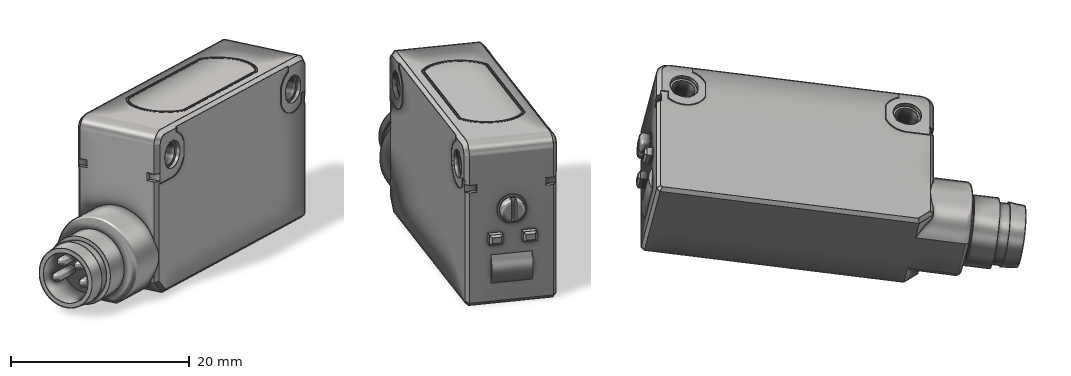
import cadquery as cq
import math


pad_width = 10.8
pad_height = 0.1
overall_length = 43.45
body_length = 31.5
body_height = 19.5
top_radius = 1.5
side_chamfer = 0.5
front_bottom_chamfer = 1.6
rear_bottom_chamfer = 0.4
half_width = pad_width / 2

hole_spacing = 25.4
front_hole_y = (body_length - hole_spacing) / 2
rear_hole_y = front_hole_y + hole_spacing
hole_z = 16.1
hole_diameter = 2.6
counterbore_diameter = 3.2
counterbore_depth = 0.5
pad_center_z = hole_z - 0.1
pad_radius = 2.65
pad_reach = 2.45
pad_neck = 0.95
rear_pad_step_y = rear_hole_y + 1.8
rear_pad_step_z = 15.05

notch_width = 1.4
notch_height = 0.9
notch_depth = 0.5
notch_z = 14.1

window_width = 7.7
window_length = 19.8
window_straight = 15.4
groove_width = 0.25
groove_depth = 0.1

connector_z = 4.55
collar_z = 4.65
collar_radius = 5.28
collar_end = 4.5
collar_fillet = 0.5
barrel_radius = 3.5
ring_radius = 4.0
ring_start = 4.85
ring_end = 7.75
lip_radius = 3.68
lip_start = 9.0
connector_length = 10.8
bore_radius = 2.95
bore_depth = 4.0
pin_radius = 0.55
pin_recess = 0.5
upper_pin_x = 1.13
upper_pin_rise = 1.45
lower_pin_x = 1.77
lower_pin_drop = 0.5

knob_z = 11.33
knob_radius = 1.43
knob_height = overall_length - body_length - connector_length
knob_fillet = 0.4
knob_slot_width = 0.6
knob_slot_depth = 0.7
knob_base_radius = 1.7
knob_base_height = 0.13
peg_z = 8.0
peg_inner_x = 1.2
peg_outer_x = 2.75
peg_thickness = 1.2
peg_height = 0.95
peg_chamfer = 0.25
lens_z = 4.26
lens_length = 4.8
lens_width = 3.4
lens_height = 0.45


def box(x_range, y_range, z_range):
    """Box between the given limits on each axis."""
    size = [high - low for low, high in (x_range, y_range, z_range)]
    low_corner = (x_range[0], y_range[0], z_range[0])
    return cq.Workplane("XY").box(*size, centered=False).translate(low_corner)


def disc(radius, x, z, y_start, y_end):
    """Cylinder along Y between two Y positions."""
    axis = cq.Vector(0, 1, 0)
    solid = cq.Solid.makeCylinder(radius, y_end - y_start, cq.Vector(x, y_start, z), axis)
    return cq.Workplane(obj=solid)


def cross_disc(diameter, y, z, x_start, x_end):
    """Cylinder along X between two X positions."""
    start = cq.Vector(x_start, y, z)
    solid = cq.Solid.makeCylinder(diameter / 2, x_end - x_start, start, cq.Vector(1, 0, 0))
    return cq.Workplane(obj=solid)


def make_block():
    """Housing at full pad width, with every side edge chamfered."""
    arc_inset = top_radius * (1 - math.sqrt(0.5))
    profile = (
        cq.Workplane("YZ", origin=(-half_width, 0, 0))
        .moveTo(front_bottom_chamfer, 0)
        .lineTo(body_length - rear_bottom_chamfer, 0)
        .lineTo(body_length, rear_bottom_chamfer)
        .lineTo(body_length, body_height - top_radius)
        .threePointArc(
            (body_length - arc_inset, body_height - arc_inset),
            (body_length - top_radius, body_height),
        )
        .lineTo(top_radius, body_height)
        .threePointArc((arc_inset, body_height - arc_inset), (0, body_height - top_radius))
        .lineTo(0, front_bottom_chamfer)
        .close()
    )
    return profile.extrude(pad_width).faces("<X or >X").chamfer(side_chamfer)


def make_pads():
    """Pad outlines carried through the full width of the housing."""
    x_range = (-half_width, half_width)
    top_range = (hole_z, body_height)
    round_range = (pad_center_z - pad_radius, pad_center_z + pad_radius)

    front_limit = front_hole_y + pad_reach
    front_pad = cross_disc(2 * pad_radius, front_hole_y, pad_center_z, *x_range)
    front_pad = front_pad.intersect(box(x_range, (0, front_limit), round_range))
    front_pad = front_pad.union(box(x_range, (0, front_hole_y + pad_neck), top_range))
    front_pad = front_pad.union(box(x_range, (0, front_hole_y), (round_range[0], body_height)))

    rear_limit = rear_hole_y - pad_reach
    rear_pad = cross_disc(2 * pad_radius, rear_hole_y, pad_center_z, *x_range)
    rear_pad = rear_pad.intersect(box(x_range, (rear_limit, rear_pad_step_y), round_range))
    rear_pad = rear_pad.union(box(x_range, (rear_hole_y - pad_neck, body_length), top_range))
    rear_pad = rear_pad.union(box(x_range, (rear_hole_y, body_length), (rear_pad_step_z, body_height)))
    return front_pad.union(rear_pad)


def lower_sides(block):
    """Set the side faces back by the pad height everywhere but on the pads."""
    pads = make_pads()
    inner_x = half_width - pad_height
    for x_range in ((-half_width, -inner_x), (inner_x, half_width)):
        layer = box(x_range, (0, body_length), (0, body_height))
        block = block.cut(layer.cut(pads))
    return block


def cut_mounting_holes(block):
    """Through holes with a counterbore on both sides."""
    left_floor = counterbore_depth - half_width
    right_floor = half_width - counterbore_depth
    for y in (front_hole_y, rear_hole_y):
        block = block.cut(cross_disc(hole_diameter, y, hole_z, -half_width, half_width))
        block = block.cut(cross_disc(counterbore_diameter, y, hole_z, -half_width, left_floor))
        block = block.cut(cross_disc(counterbore_diameter, y, hole_z, right_floor, half_width))
    return block


def cut_notches(block):
    """Small notch in each of the four vertical edges."""
    z_range = (notch_z - notch_height / 2, notch_z + notch_height / 2)
    for y_range in ((0, notch_depth), (body_length - notch_depth, body_length)):
        block = block.cut(box((-half_width, notch_width - half_width), y_range, z_range))
        block = block.cut(box((half_width - notch_width, half_width), y_range, z_range))
    return block


def window_outline():
    """Closed outline with straight sides and arched ends on the top face."""
    x = window_width / 2
    y = window_straight / 2
    crown = window_length / 2
    return (
        cq.Workplane("XY", origin=(0, body_length / 2, body_height))
        .moveTo(-x, -y)
        .threePointArc((0, -crown), (x, -y))
        .lineTo(x, y)
        .threePointArc((0, crown), (-x, y))
        .close()
    )


def make_window_groove():
    """Shallow groove running around the window."""
    outer = window_outline().extrude(-groove_depth)
    inner = window_outline().offset2D(-groove_width).extrude(-groove_depth)
    return outer.cut(inner)


def make_collar():
    """Round collar, cut flat flush with the underside and rounded at its end."""
    collar = disc(collar_radius, 0, collar_z, -collar_end, front_bottom_chamfer)
    above_base = box(
        (-collar_radius, collar_radius),
        (-collar_end, front_bottom_chamfer),
        (0, collar_z + collar_radius),
    )
    return collar.intersect(above_base).faces("<Y").edges().fillet(collar_fillet)


def make_plug():
    """Turned barrel with ring, tapered lip and bore."""
    bore_floor = connector_length - bore_depth
    profile = [
        (0, 0),
        (barrel_radius, 0),
        (barrel_radius, ring_start),
        (ring_radius, ring_start),
        (ring_radius, ring_end),
        (barrel_radius, ring_end),
        (barrel_radius, lip_start),
        (lip_radius, lip_start),
        (barrel_radius, connector_length),
        (bore_radius, connector_length),
        (bore_radius, bore_floor),
        (0, bore_floor),
    ]
    outline = [(radius, -distance) for radius, distance in profile]
    plug = cq.Workplane("XY").polyline(outline).close().revolve(360, (0, 0, 0), (0, 1, 0))
    return plug.translate((0, 0, connector_z))


def make_pins():
    """Four contact pins with ball ends."""
    root_y = bore_depth + pin_radius - connector_length
    ball_y = pin_recess + pin_radius - connector_length
    upper_z = connector_z + upper_pin_rise
    lower_z = connector_z - lower_pin_drop
    pins = cq.Workplane("XY")
    for x, z in (
        (-upper_pin_x, upper_z),
        (upper_pin_x, upper_z),
        (-lower_pin_x, lower_z),
        (lower_pin_x, lower_z),
    ):
        pins = pins.add(disc(pin_radius, x, z, ball_y, root_y))
        pins = pins.add(cq.Workplane("XY").sphere(pin_radius).translate((x, ball_y, z)))
    return pins.combine()


def make_knob():
    """Slotted adjuster on a thin round base."""
    knob_end = body_length + knob_height
    knob = disc(knob_radius, 0, knob_z, body_length, knob_end).faces(">Y").edges().fillet(knob_fillet)
    slot = box(
        (-knob_slot_width / 2, knob_slot_width / 2),
        (knob_end - knob_slot_depth, knob_end),
        (knob_z - knob_radius, knob_z + knob_radius),
    )
    base = disc(knob_base_radius, 0, knob_z, body_length, body_length + knob_base_height)
    return knob.cut(slot).union(base)


def make_pegs():
    """Pair of pegs with chamfered tips."""
    peg = box(
        (peg_inner_x, peg_outer_x),
        (body_length, body_length + peg_height),
        (peg_z - peg_thickness / 2, peg_z + peg_thickness / 2),
    )
    peg = peg.faces(">Y").edges().chamfer(peg_chamfer)
    return peg.union(peg.mirror("YZ"))


def make_lens():
    """Bar with a gently arched face."""
    return (
        cq.Workplane("YZ", origin=(-lens_length / 2, 0, 0))
        .moveTo(body_length, lens_z - lens_width / 2)
        .threePointArc((body_length + lens_height, lens_z), (body_length, lens_z + lens_width / 2))
        .close()
        .extrude(lens_length)
    )


housing = lower_sides(make_block())
housing = cut_mounting_holes(housing)
housing = cut_notches(housing)
housing = housing.cut(make_window_groove())
connector = make_collar().union(make_plug()).union(make_pins())
result = housing.union(connector).union(make_knob()).union(make_pegs()).union(make_lens())